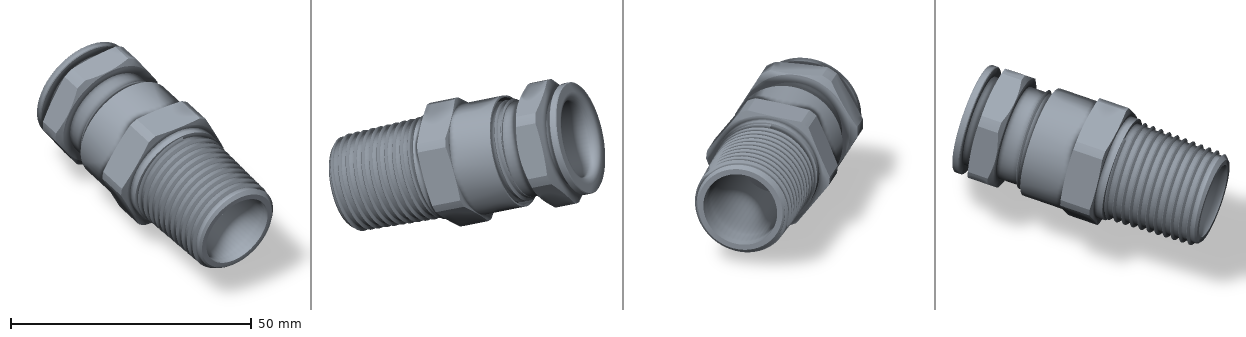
import cadquery as cq
import math


overall_length = 53.85
flange_thickness = 1.55
nut_start = 3.3
nut_hex_end = 9.35
nut_thread_start = 13.15
body_start = 15.3
pocket_floor = 23.15
body_hex_start = 24.6
body_hex_end = 31.65
collar_end = 33.4

across_flats = 23.95
nut_corner_diameter = 26.45
body_corner_diameter = 26.65
body_hex_turn = -6.8
hex_chamfer_diameter = 23.7
nut_front_cone_length = 0.8
nut_rear_chamfer_length = 0.8
body_hex_chamfer_length = 0.25

flange_diameter = 23.65
flange_chamfer = 0.15
sleeve_diameter = 19.45
ferrule_bore = 16.25
mouth_radius = (sleeve_diameter - ferrule_bore) / 2

shank_diameter = 20.2
nut_thread_pitch = 1.505
nut_thread_height = 0.65
nut_thread_origin = 11.35

body_diameter = 23.6
collar_diameter = 22.25
body_bore = 15.9
pocket_diameter = 22.8

pipe_root_diameter = 20.25
pipe_pitch = 1.815
pipe_thread_height = 0.7
pipe_radius_taper = 1 / 32
pipe_thread_origin = 55.2
pipe_end_diameter = 18.2
pipe_crest_clear_diameter = 24.25

disc_thickness = 2.7

thread_half_angle = math.radians(30)
thread_root_overlap = 0.1


def revolved(points):
    """Solid of revolution about X from (x, radius) points."""
    return cq.Workplane("XY").polyline(points).close().revolve(360, (0, 0, 0), (1, 0, 0))


def cylinder(start, end, diameter):
    """Cylinder on the X axis."""
    return cq.Workplane("YZ").workplane(offset=start).circle(diameter / 2).extrude(end - start)


def hexagon(start, end, turn, corner_diameter, front_diameter, front_length, rear_length):
    """Hexagonal prism with turned corners and a cone at each end."""
    corner_radius = corner_diameter / 2
    prism = (
        cq.Workplane("YZ")
        .workplane(offset=start)
        .polygon(6, across_flats / math.cos(math.pi / 6))
        .extrude(end - start)
        .rotate((0, 0, 0), (1, 0, 0), turn)
    )
    envelope = revolved([
        (start, 0),
        (start, front_diameter / 2),
        (start + front_length, corner_radius),
        (end - rear_length, corner_radius),
        (end, hex_chamfer_diameter / 2),
        (end, 0),
    ])
    return prism.intersect(envelope)


def thread_ridge(helix, root_radius, height):
    """Triangular ridge swept along a helix about +Z that starts at Z = 0 on the +X side."""
    half_base = (height + thread_root_overlap) * math.tan(thread_half_angle)
    inner_radius = root_radius - thread_root_overlap
    profile = [(inner_radius, -half_base), (root_radius + height, 0), (inner_radius, half_base)]
    return cq.Workplane("XZ").polyline(profile).close().sweep(cq.Workplane(helix), isFrenet=True)


def make_ferrule():
    flange = cylinder(0, flange_thickness, flange_diameter).edges().chamfer(flange_chamfer)
    sleeve = cylinder(0, pocket_floor, sleeve_diameter)
    bore_radius = ferrule_bore / 2
    arc_offset = mouth_radius * (1 - math.sqrt(0.5))
    flared_bore = (
        cq.Workplane("XY")
        .moveTo(0, 0)
        .lineTo(0, bore_radius + mouth_radius)
        .threePointArc((arc_offset, bore_radius + arc_offset), (mouth_radius, bore_radius))
        .lineTo(pocket_floor, bore_radius)
        .lineTo(pocket_floor, 0)
        .close()
        .revolve(360, (0, 0, 0), (1, 0, 0))
    )
    return flange.union(sleeve).cut(flared_bore)


def make_nut():
    head = hexagon(
        nut_start, nut_hex_end, 0, nut_corner_diameter,
        sleeve_diameter, nut_front_cone_length, nut_rear_chamfer_length,
    )
    shank = cylinder(nut_hex_end, pocket_floor, shank_diameter)
    shank_radius = shank_diameter / 2
    helix = cq.Wire.makeHelix(nut_thread_pitch, pocket_floor - nut_thread_origin, shank_radius)
    ridge = (
        thread_ridge(helix, shank_radius, nut_thread_height)
        .rotate((0, 0, 0), (0, 1, 0), 90)
        .translate((nut_thread_origin, 0, 0))
        .intersect(cylinder(nut_thread_start, pocket_floor, pocket_diameter))
    )
    bore = cylinder(nut_start, pocket_floor, sleeve_diameter)
    return head.union(shank).union(ridge).cut(bore)


def pipe_root_radius(x):
    """Root radius of the tapered thread at a station along X."""
    return pipe_root_diameter / 2 - (x - collar_end) * pipe_radius_taper


def make_body():
    barrel = cylinder(body_start, body_hex_start, body_diameter)
    hex_section = hexagon(
        body_hex_start, body_hex_end, body_hex_turn, body_corner_diameter,
        hex_chamfer_diameter, body_hex_chamfer_length, body_hex_chamfer_length,
    )
    collar = cylinder(body_hex_end, collar_end, collar_diameter)
    pipe = revolved([
        (collar_end, 0),
        (collar_end, pipe_root_radius(collar_end)),
        (overall_length, pipe_root_radius(overall_length)),
        (overall_length, 0),
    ])
    start_radius = pipe_root_radius(pipe_thread_origin)
    taper_angle = math.degrees(math.atan(pipe_radius_taper))
    helix = cq.Wire.makeHelix(
        pipe_pitch, pipe_thread_origin - collar_end, start_radius, angle=taper_angle
    )
    ridge = (
        thread_ridge(helix, start_radius, pipe_thread_height)
        .rotate((0, 0, 0), (0, 1, 0), -90)
        .translate((pipe_thread_origin, 0, 0))
    )
    chamfer_length = (pipe_crest_clear_diameter - pipe_end_diameter) / 2
    thread_envelope = revolved([
        (body_hex_end, 0),
        (body_hex_end, pipe_crest_clear_diameter / 2),
        (overall_length - chamfer_length, pipe_crest_clear_diameter / 2),
        (overall_length, pipe_end_diameter / 2),
        (overall_length, 0),
    ])
    threaded_end = collar.union(pipe).union(ridge).intersect(thread_envelope)
    pocket = cylinder(body_start, pocket_floor, pocket_diameter)
    bore = cylinder(pocket_floor, overall_length, body_bore)
    return barrel.union(hex_section).union(threaded_end).cut(pocket).cut(bore)


def make_disc():
    return cylinder(pocket_floor, pocket_floor + disc_thickness, body_bore)


ferrule = make_ferrule()
nut = make_nut()
body = make_body()
disc = make_disc()

result = cq.Compound.makeCompound([ferrule.val(), nut.val(), body.val(), disc.val()])